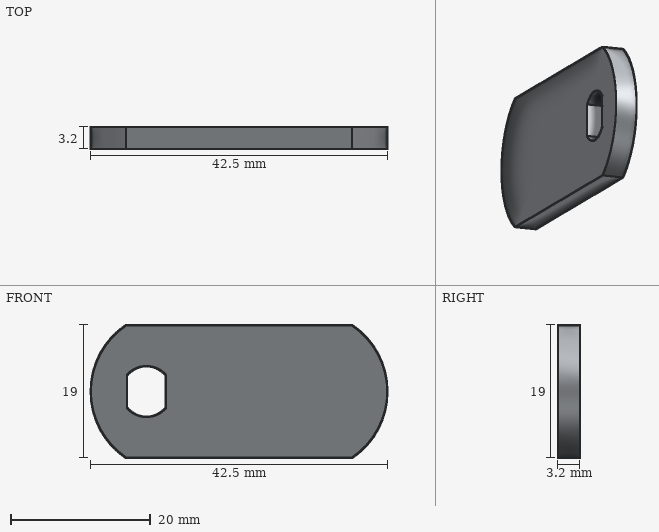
import cadquery as cq

length = 42.5
height = 19.0
thickness = 3.2
straight_edge = 32.38

hole_diameter = 7.22
hole_across_flats = 5.52
hole_from_left_end = 8.0
hole_x = hole_from_left_end - length / 2


def plate():
    """Plate with flat long edges and bowed ends, centred on the origin."""
    edge_x = straight_edge / 2
    end_x = length / 2
    top_z = height / 2
    return (
        cq.Workplane("XZ")
        .moveTo(-edge_x, top_z)
        .lineTo(edge_x, top_z)
        .threePointArc((end_x, 0), (edge_x, -top_z))
        .lineTo(-edge_x, -top_z)
        .threePointArc((-end_x, 0), (-edge_x, top_z))
        .close()
        .extrude(thickness / 2, both=True)
    )


def double_flat_cutter():
    """Cylinder through the plate, trimmed to the distance across its flats."""
    cylinder = (
        cq.Workplane("XZ")
        .center(hole_x, 0)
        .circle(hole_diameter / 2)
        .extrude(thickness, both=True)
    )
    flats = (
        cq.Workplane("XZ")
        .center(hole_x, 0)
        .rect(hole_across_flats, hole_diameter)
        .extrude(thickness, both=True)
    )
    return cylinder.intersect(flats)


result = plate().cut(double_flat_cutter())